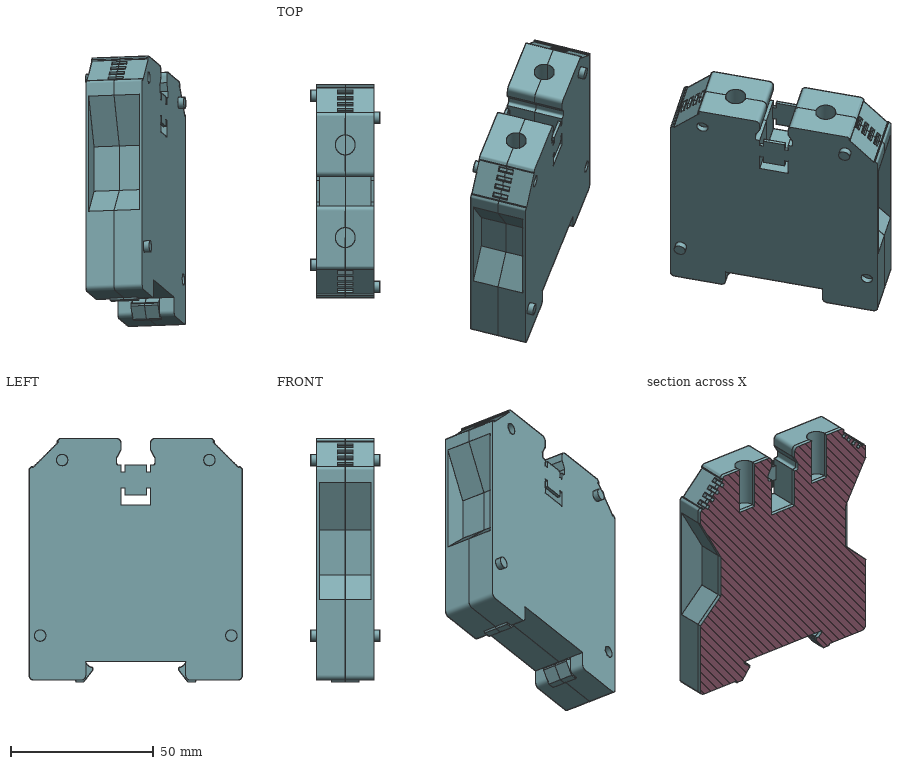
import cadquery as cq
import math


total_width = 24.4
body_width = 20.2
half_width = body_width / 2
half_length = 75.0 / 2
height = 85.7
base_z = 0.7
corner_radius = 1.7

shoulder_run = 9.9
lip_bevel = 0.85
lip_radius = 0.9
lip_height = 1.3
lip_step = 0.4
lip_y = half_length - shoulder_run
lip_z = height - shoulder_run

slot_count = 4
slot_pitch = 3.1
slot_mouth = 1.7
slot_throat = 1.2
slot_taper_depth = 0.7
slot_depth = 1.7
slot_width = 5.3

channel_half = 5.1
channel_floor_z = 62.3
channel_ledge_z = 76.4
undercut_half = 6.7
undercut_top_z = 78.85
undercut_slope_z = 81.7
undercut_radius = 0.6
side_wall = 1.0
plate_half = 3.85
plate_bottom_z = 65.7
arm_bottom_z = 68.2
arm_top_z = 73.9

bore_diameter = 7.0
bore_y = 16.3
bore_depth = 17.1

opening_depth = 9.2
opening_top_z = 70.1
opening_back_top_z = 53.6
opening_back_bottom_z = 37.7
opening_bottom_z = 29.0

recess_half = 17.6
recess_z = 7.2
foot_width = 9.8
foot_tip_y = 15.1
foot_tip_top_z = 4.9
foot_tip_bottom_z = 4.2
foot_hollow = (16.8, 5.9)
foot_shoulder = (15.3, 5.2)
foot_sole_inner_y = 18.3
foot_sole_outer_y = 20.9
foot_outer_y = 21.25

peg_diameter = 4.0
peg_length = (total_width - body_width) / 2
upper_peg_y, upper_peg_z = 25.9, 78.1
lower_peg_y, lower_peg_z = 33.6, 16.4
socket_depth = peg_length


def mirrored(solid):
    """The solid together with its mirror image about Y = 0."""
    return solid.union(solid.mirror("XZ"))


def body_side():
    """Half of the body, on the +Y side of the middle, with the channel and recess outlines."""
    half_turn = math.radians(45 / 2)
    lip_tangent = lip_radius * math.tan(half_turn)
    lip_start = lip_bevel + lip_tangent
    lip_mid_along = lip_start - lip_radius * math.sin(half_turn)
    lip_mid_in = lip_radius * (1 - math.cos(half_turn))
    lip_end_in = lip_tangent * math.sqrt(0.5)
    lip_end_along = lip_bevel - lip_end_in
    radius_mid = corner_radius * (1 - math.sqrt(0.5))
    undercut_mid = undercut_radius * (1 - math.sqrt(0.5))
    return (
        cq.Workplane("YZ", origin=(-half_width, 0, 0))
        .moveTo(0, recess_z)
        .lineTo(recess_half, recess_z)
        .lineTo(recess_half, base_z + corner_radius)
        .threePointArc(
            (recess_half + radius_mid, base_z + radius_mid),
            (recess_half + corner_radius, base_z),
        )
        .lineTo(half_length - corner_radius, base_z)
        .threePointArc(
            (half_length - radius_mid, base_z + radius_mid),
            (half_length, base_z + corner_radius),
        )
        .lineTo(half_length, lip_z - lip_start)
        .threePointArc(
            (half_length - lip_mid_in, lip_z - lip_mid_along),
            (half_length - lip_end_in, lip_z - lip_end_along),
        )
        .lineTo(half_length - lip_bevel, lip_z)
        .lineTo(half_length - lip_height, lip_z)
        .lineTo(half_length - lip_height, lip_z - lip_step)
        .lineTo(lip_y - lip_step, height - lip_height)
        .lineTo(lip_y, height - lip_height)
        .lineTo(lip_y, height - lip_bevel)
        .lineTo(lip_y - lip_end_along, height - lip_end_in)
        .threePointArc(
            (lip_y - lip_mid_along, height - lip_mid_in),
            (lip_y - lip_start, height),
        )
        .lineTo(channel_half + corner_radius, height)
        .threePointArc(
            (channel_half + radius_mid, height - radius_mid),
            (channel_half, height - corner_radius),
        )
        .lineTo(channel_half, undercut_slope_z)
        .lineTo(undercut_half, undercut_top_z)
        .lineTo(undercut_half, channel_ledge_z + undercut_radius)
        .threePointArc(
            (undercut_half - undercut_mid, channel_ledge_z + undercut_mid),
            (undercut_half - undercut_radius, channel_ledge_z),
        )
        .lineTo(channel_half, channel_ledge_z)
        .lineTo(channel_half, channel_floor_z)
        .lineTo(0, channel_floor_z)
        .close()
        .extrude(half_width)
    )


def bridge_plate():
    """Cross-shaped plate that spans the channel, flush with the outer side."""
    plate_height = channel_ledge_z - plate_bottom_z
    arm_height = arm_top_z - arm_bottom_z
    plate = cq.Workplane("XY").box(side_wall, 2 * plate_half, plate_height, centered=(False, True, False))
    arms = cq.Workplane("XY").box(side_wall, 2 * channel_half, arm_height, centered=(False, True, False))
    return plate.translate((-half_width, 0, plate_bottom_z)).union(
        arms.translate((-half_width, 0, arm_bottom_z))
    )


def rail_foot():
    """Hook beside the rail recess, on the +Y side, up to the split plane."""
    return (
        cq.Workplane("YZ", origin=(-foot_width / 2, 0, 0))
        .moveTo(recess_half, recess_z)
        .threePointArc(foot_hollow, foot_shoulder)
        .lineTo(foot_tip_y, foot_tip_top_z)
        .lineTo(foot_tip_y, foot_tip_bottom_z)
        .lineTo(foot_sole_inner_y, 0)
        .lineTo(foot_sole_outer_y, 0)
        .lineTo(foot_outer_y, base_z)
        .lineTo(foot_outer_y, recess_z)
        .close()
        .extrude(foot_width / 2)
    )


def wire_opening():
    """Opening in the +Y end with a sloping roof and floor."""
    back_y = half_length - opening_depth
    return (
        cq.Workplane("YZ", origin=(-half_width + side_wall, 0, 0))
        .moveTo(half_length, opening_bottom_z)
        .lineTo(back_y, opening_back_bottom_z)
        .lineTo(back_y, opening_back_top_z)
        .lineTo(half_length, opening_top_z)
        .close()
        .extrude(half_width - side_wall)
    )


def marking_slot():
    """One slot with a tapered mouth, cut down from Z = 0 and centred on the origin."""
    return (
        cq.Workplane("YZ", origin=(-slot_width / 2, 0, 0))
        .moveTo(-slot_mouth / 2, 0)
        .lineTo(-slot_throat / 2, -slot_taper_depth)
        .lineTo(-slot_throat / 2, -slot_depth)
        .lineTo(slot_throat / 2, -slot_depth)
        .lineTo(slot_throat / 2, -slot_taper_depth)
        .lineTo(slot_mouth / 2, 0)
        .close()
        .extrude(slot_width)
    )


def marking_slots():
    """Row of slots cut square into the +Y shoulder."""
    slope_y = (half_length - lip_height + lip_y - lip_step) / 2
    slope_z = (lip_z - lip_step + height - lip_height) / 2
    slots = cq.Workplane("XY")
    for index in range(slot_count):
        offset = (index - (slot_count - 1) / 2) * slot_pitch
        slots = slots.union(marking_slot().translate((0, offset, 0)))
    return slots.rotate((0, 0, 0), (1, 0, 0), -45).translate((0, slope_y, slope_z))


def screw_bore():
    """Blind screw bore in the top face, on the +Y side."""
    return (
        cq.Workplane("XY", origin=(0, bore_y, height - bore_depth))
        .circle(bore_diameter / 2)
        .extrude(bore_depth)
    )


def side_pins(points, start_x, length):
    """Round pins along +X at the given (Y, Z) points."""
    return (
        cq.Workplane("YZ", origin=(start_x, 0, 0))
        .pushPoints(points)
        .circle(peg_diameter / 2)
        .extrude(length)
    )


def half_housing():
    """The half housing on the -X side of the split plane."""
    peg_points = [(-upper_peg_y, upper_peg_z), (lower_peg_y, lower_peg_z)]
    socket_points = [(upper_peg_y, upper_peg_z), (-lower_peg_y, lower_peg_z)]
    return (
        mirrored(body_side())
        .union(bridge_plate())
        .union(mirrored(rail_foot()))
        .cut(mirrored(wire_opening()))
        .cut(mirrored(marking_slots()))
        .cut(mirrored(screw_bore()))
        .cut(side_pins(socket_points, -half_width, socket_depth))
        .union(side_pins(peg_points, -half_width - peg_length, peg_length))
    )


housings = []
for turn in (0, 180):
    housings.append(half_housing().rotate((0, 0, 0), (0, 0, 1), turn).val())

result = cq.Compound.makeCompound(housings)